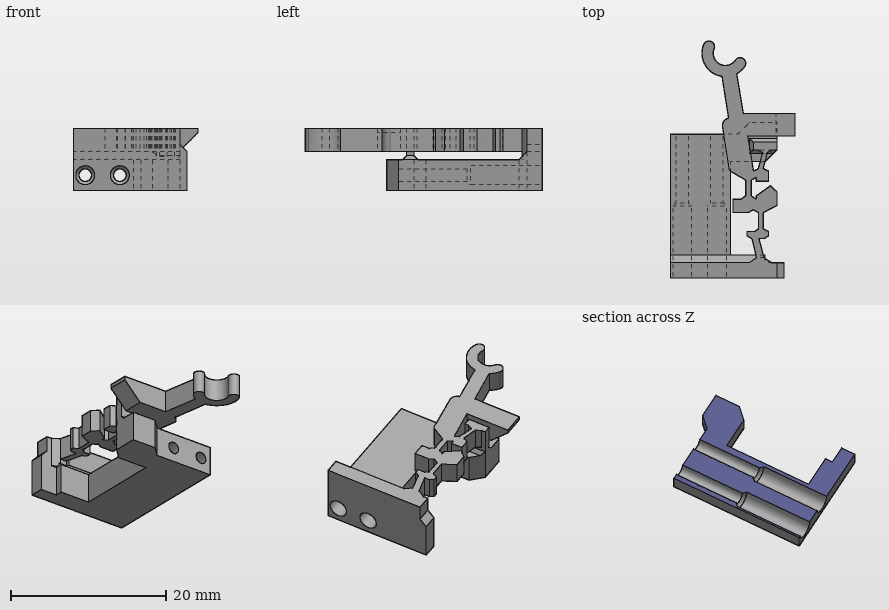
import cadquery as cq
import math

total_length = 30.55
total_width = 16.07
total_height = 8.0
base_height = 4.0
arm_bottom = 5.0
arm_height = total_height - arm_bottom

base_width = 7.75
base_length = 18.55
inner_edge_y = 3.0
step_x = 12.22
step_y = 15.0
right_x = 13.75
right_corner_y = step_y + right_x - step_x
end_y = 20.05
end_slope_x = 8.7

wall_width = 14.65
wall_depth = 2.0
wall_slope = wall_width - right_x

hole_positions = (1.53, 6.0)
hole_z = 2.0
hole_front_radius = 1.22
hole_back_radius = 0.8
hole_front_depth = base_length / 2

post_left = 10.7
post_front = right_corner_y
post_back = 17.5
post_flare = 0.5

foot_left = (10.15, wall_depth)
foot_top_left = (11.1, 2.63)
foot_top_right = (12.07, 2.63)
foot_right = (13.05, wall_depth)

hook_x = 7.1
hook_inner_radius = 1.55
hook_outer_radius = 3.02
hook_tip_radius = (hook_outer_radius - hook_inner_radius) / 2
hook_mid_radius = (hook_outer_radius + hook_inner_radius) / 2
hook_start_angle = 158
hook_end_angle = 326
hook_y = total_length - hook_tip_radius - hook_mid_radius * math.sin(math.radians(hook_start_angle))

bar_front = 18.3
bar_back = 21.23
bar_tip_height = 0.52


def prism(outline, bottom, height):
    return cq.Workplane("XY").workplane(offset=bottom).polyline(outline).close().extrude(height)


def make_base():
    outline = [
        (0, 0), (step_x, 0), (step_x, inner_edge_y), (base_width, inner_edge_y),
        (base_width, step_y), (step_x, step_y), (right_x, right_corner_y), (right_x, end_y),
        (end_slope_x + end_y - base_length, end_y), (end_slope_x, base_length), (0, base_length),
    ]
    return prism(outline, 0, base_height)


def make_wall():
    face = [
        (0, 0), (wall_width, 0), (wall_width, arm_bottom),
        (right_x, arm_bottom + wall_slope), (right_x, total_height), (0, total_height),
    ]
    wall = cq.Workplane("XZ").polyline(face).close().extrude(-wall_depth)
    ramp_profile = [(wall_depth, base_height), (inner_edge_y, base_height), (wall_depth, arm_bottom)]
    ramp = cq.Workplane("YZ").polyline(ramp_profile).close().extrude(step_x)
    foot = prism([foot_left, foot_top_left, foot_top_right, foot_right], base_height, arm_bottom - base_height)
    return wall.union(ramp).union(foot)


def make_post(base):
    width = right_x - post_left
    depth = post_back - post_front
    neck = cq.Workplane("XY").box(width, depth, total_height, centered=False)
    neck = neck.translate((post_left, post_front, 0))
    foot = (
        cq.Workplane("XY")
        .workplane(offset=base_height)
        .center(post_left + width / 2, post_front + depth / 2)
        .rect(width + 2 * post_flare, depth + 2 * post_flare)
        .workplane(offset=post_flare)
        .rect(width, depth)
        .loft(combine=True)
    )
    footprint = base.translate((0, 0, base_height))
    return neck.union(foot.intersect(footprint))


def make_flexure_arm():
    arm = (
        cq.Workplane("XY")
        .workplane(offset=arm_bottom)
        .moveTo(*foot_left)
        .lineTo(*foot_top_left)
        .lineTo(10.5, 5.05)
        .lineTo(9.87, 5.45)
        .lineTo(9.87, 6.02)
        .lineTo(10.85, 6.02)
        .lineTo(11.33, 6.35)
        .lineTo(11.33, 8.43)
        .lineTo(10.65, 8.8)
        .lineTo(10.05, 8.43)
        .lineTo(8.03, 8.43)
        .lineTo(8.03, 10.17)
        .lineTo(9.07, 10.17)
        .lineTo(9.68, 10.6)
        .lineTo(9.68, 12.62)
        .lineTo(7.75, 13.75)
        .lineTo(7.58, 14.0)
        .lineTo(6.7, 19.6)
        .threePointArc((6.85, 20.15), (7.5, 20.62))
        .lineTo(6.57, 26.43)
        .lineTo(8.5, 26.73)
        .lineTo(9.4, bar_back)
        .lineTo(total_width, bar_back)
        .lineTo(total_width, bar_front)
        .lineTo(9.95, bar_front)
        .lineTo(10.72, 13.8)
        .lineTo(11.3, 14.08)
        .lineTo(11.88, 16.15)
        .lineTo(11.2, post_front)
        .lineTo(13.17, post_front)
        .lineTo(12.45, 16.15)
        .lineTo(11.98, 14.1)
        .lineTo(12.65, 13.78)
        .lineTo(12.65, 12.45)
        .lineTo(11.05, 12.45)
        .lineTo(11.05, 12.95)
        .lineTo(10.42, 12.62)
        .lineTo(10.42, 10.6)
        .lineTo(11.05, 10.17)
        .lineTo(11.05, 10.6)
        .lineTo(12.9, 11.9)
        .lineTo(right_x, 11.1)
        .lineTo(right_x, 9.35)
        .lineTo(11.98, 8.43)
        .lineTo(11.98, 6.35)
        .lineTo(12.65, 6.02)
        .lineTo(12.65, 5.45)
        .lineTo(12.13, 5.1)
        .lineTo(11.43, 5.1)
        .lineTo(*foot_top_right)
        .lineTo(*foot_right)
        .close()
        .extrude(arm_height)
    )
    tip_z = total_height - bar_tip_height
    slope_run = tip_z - arm_bottom
    bevel = (
        cq.Workplane("XZ", origin=(0, bar_front, 0))
        .polyline([(total_width - slope_run, arm_bottom), (total_width, arm_bottom), (total_width, tip_z)])
        .close()
        .extrude(bar_front - bar_back)
    )
    return arm.cut(bevel)


def hook_point(radius, angle):
    turn = math.radians(angle)
    return (hook_x + radius * math.cos(turn), hook_y + radius * math.sin(turn))


def make_hook():
    middle_angle = (hook_start_angle + hook_end_angle) / 2
    tip_angle = math.degrees(math.atan2(hook_tip_radius, hook_mid_radius))
    tip_reach = math.hypot(hook_tip_radius, hook_mid_radius)
    return (
        cq.Workplane("XY")
        .workplane(offset=arm_bottom)
        .moveTo(*hook_point(hook_outer_radius, hook_start_angle))
        .threePointArc(
            hook_point(hook_outer_radius, middle_angle), hook_point(hook_outer_radius, hook_end_angle)
        )
        .threePointArc(
            hook_point(tip_reach, hook_end_angle + tip_angle), hook_point(hook_inner_radius, hook_end_angle)
        )
        .threePointArc(
            hook_point(hook_inner_radius, middle_angle), hook_point(hook_inner_radius, hook_start_angle)
        )
        .threePointArc(
            hook_point(tip_reach, hook_start_angle - tip_angle),
            hook_point(hook_outer_radius, hook_start_angle),
        )
        .close()
        .extrude(arm_height)
    )


def make_hole(x):
    step_end = hole_front_depth + hole_front_radius - hole_back_radius
    half_profile = [
        (0, 0), (hole_front_radius, 0), (hole_front_radius, hole_front_depth),
        (hole_back_radius, step_end), (hole_back_radius, end_y), (0, end_y),
    ]
    hole = cq.Workplane("XY").polyline(half_profile).close().revolve(360, (0, 0, 0), (0, 1, 0))
    return hole.translate((x, 0, hole_z))


base_block = make_base()
result = base_block.union(make_wall()).union(make_post(base_block))
result = result.union(make_flexure_arm()).union(make_hook())
for hole_x in hole_positions:
    result = result.cut(make_hole(hole_x))